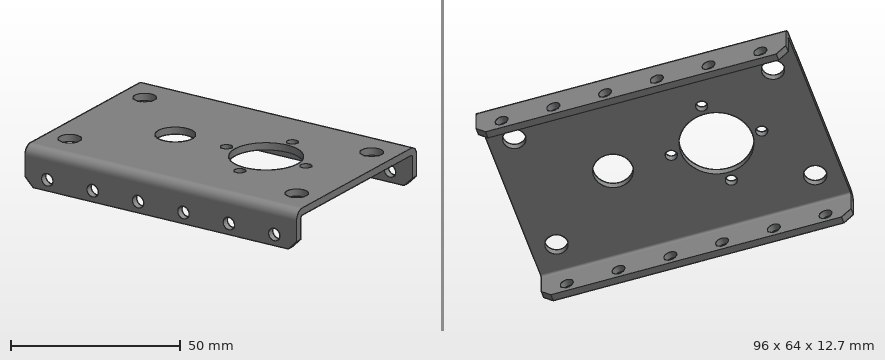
import cadquery as cq

length = 96.0
width = 64.0
height = 12.7
thickness = 2.3
inner_bend_radius = 0.8
outer_bend_radius = inner_bend_radius + thickness
flange_corner_chamfer = 3.0

hole_pitch = 16.0
mount_x = 2.5 * hole_pitch
mount_y = 20.0
mount_diameter = 6.9
bore_x = hole_pitch
bore_diameter = 22.1
bore_screw_radius = 14.0
bore_screw_diameter = 3.6
access_x = -hole_pitch
access_diameter = 12.0

flange_hole_count = 6
flange_hole_diameter = 3.9
flange_hole_height = 3.6


def bent_channel():
    """Sheet-metal channel, open downwards, with its base at Z = 0."""
    outer = (
        cq.Workplane("XY")
        .box(length, width, height, centered=(True, True, False))
        .edges("|X and >Z")
        .fillet(outer_bend_radius)
    )
    inner = (
        cq.Workplane("XY")
        .box(length, width - 2 * thickness, height - thickness, centered=(True, True, False))
        .edges("|X and >Z")
        .fillet(inner_bend_radius)
    )
    return outer.cut(inner).edges("|Y and <Z").chamfer(flange_corner_chamfer)


def web_holes(points, diameter):
    """Vertical cutters that pass through the web."""
    return cq.Workplane("XY").pushPoints(points).circle(diameter / 2).extrude(height)


def flange_holes():
    """Cutters along Y that pass through both flanges."""
    return (
        cq.Workplane("XZ", origin=(0, 0, flange_hole_height))
        .rarray(hole_pitch, 1, flange_hole_count, 1)
        .circle(flange_hole_diameter / 2)
        .extrude(width, both=True)
    )


mount_points = [(sx * mount_x, sy * mount_y) for sx in (-1, 1) for sy in (-1, 1)]
bore_screw_points = [
    (bore_x - bore_screw_radius, 0),
    (bore_x + bore_screw_radius, 0),
    (bore_x, -bore_screw_radius),
    (bore_x, bore_screw_radius),
]

result = (
    bent_channel()
    .cut(web_holes(mount_points, mount_diameter))
    .cut(web_holes([(bore_x, 0)], bore_diameter))
    .cut(web_holes(bore_screw_points, bore_screw_diameter))
    .cut(web_holes([(access_x, 0)], access_diameter))
    .cut(flange_holes())
)